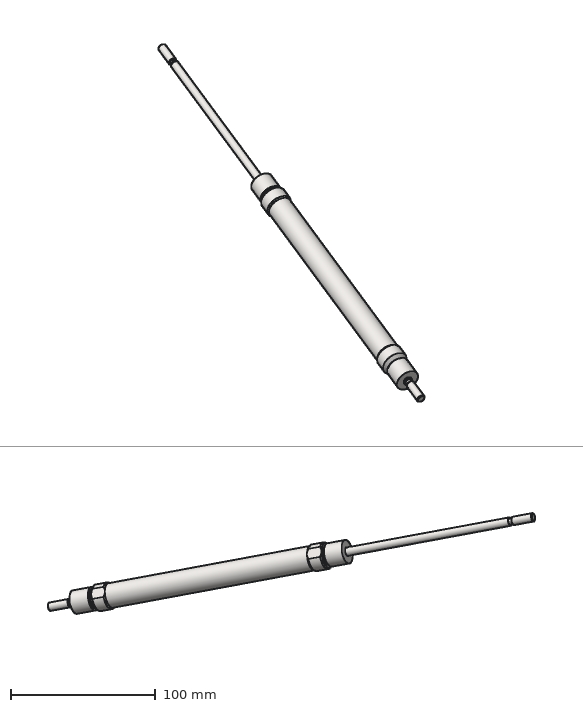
import cadquery as cq
total_length = 379.0

rod_radius = 3.0
neck_radius = 2.3
neck_length = 2.3
end_piece_length = 16.3
end_chamfer = 0.55

tube_radius = 8.7
tube_start = -16.5
tube_end = 141.5

nose_radius = 8.5
head_groove_radius = 7.0
collar_radius = 9.5
chamfer_length = 1.0
collar_flat = 8.7
cutter_width = 2 * collar_radius + 3.8
front_collar_length = 11.5
front_groove_length = 2.0
front_nose_length = 13.5
rear_collar_length = 10.0
rear_cone_length = 2.5
rear_groove_length = 1.0
rear_nose_length = 14.5


def turned(outline):
    """Revolve an outline of (x, radius) points about the X axis."""
    return cq.Workplane("XZ").polyline(outline).close().revolve(360, (0, 0, 0), (1, 0, 0))


def make_rod():
    """Through rod that runs from end to end of the assembly."""
    left = -total_length / 2
    right = total_length / 2
    left_neck = left + end_piece_length
    right_neck = right - end_piece_length - neck_length
    left_shaft = left_neck + neck_length
    right_piece = right_neck + neck_length
    tip_radius = rod_radius - end_chamfer
    return turned([
        (left, 0),
        (left, tip_radius),
        (left + end_chamfer, rod_radius),
        (left_neck - end_chamfer, rod_radius),
        (left_neck, tip_radius),
        (left_neck, neck_radius),
        (left_shaft, neck_radius),
        (left_shaft, rod_radius),
        (right_neck, rod_radius),
        (right_neck, neck_radius),
        (right_piece, neck_radius),
        (right_piece, tip_radius),
        (right_piece + end_chamfer, rod_radius),
        (right - end_chamfer, rod_radius),
        (right, tip_radius),
        (right, 0),
    ])


def cut_flat(head):
    """Cut the +Y side of the collar to a flat along the whole head."""
    beyond = cq.Workplane("XY").box(
        total_length, collar_radius, cutter_width, centered=(True, False, True)
    )
    return head.cut(beyond.translate((0, collar_flat, 0)))


def make_front_head():
    """Head on the -X end of the tube, with its collar chamfered on both sides."""
    collar = tube_start - front_collar_length
    groove = collar - front_groove_length
    nose = groove - front_nose_length
    return cut_flat(turned([
        (nose, rod_radius),
        (nose, nose_radius),
        (groove, nose_radius),
        (groove, head_groove_radius),
        (collar, head_groove_radius),
        (collar, tube_radius),
        (collar + chamfer_length, collar_radius),
        (tube_start - chamfer_length, collar_radius),
        (tube_start, tube_radius),
        (tube_start, rod_radius),
    ]))


def make_rear_head():
    """Head on the +X end of the tube, with its collar tapering into the groove."""
    cone = tube_end + rear_collar_length
    groove = cone + rear_cone_length
    nose = groove + rear_groove_length
    nose_end = nose + rear_nose_length
    return cut_flat(turned([
        (tube_end, rod_radius),
        (tube_end, tube_radius),
        (tube_end + chamfer_length, collar_radius),
        (cone, collar_radius),
        (groove, head_groove_radius),
        (nose, head_groove_radius),
        (nose, nose_radius),
        (nose_end, nose_radius),
        (nose_end, rod_radius),
    ]))


def make_tube():
    """Plain tube between the two heads, bored to the rod."""
    return turned([
        (tube_start, rod_radius),
        (tube_start, tube_radius),
        (tube_end, tube_radius),
        (tube_end, rod_radius),
    ])


rod = make_rod()
tube = make_tube()
front_head = make_front_head()
rear_head = make_rear_head()
result = cq.Compound.makeCompound([rod.val(), tube.val(), front_head.val(), rear_head.val()])